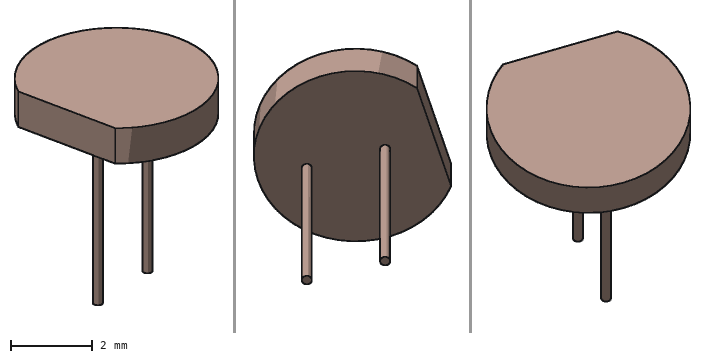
import cadquery as cq

total_height = 6.0
body_diameter = 5.0
body_depth = 4.5
body_thickness = 1.0

lead_diameter = 0.25
lead_pitch = 2.0

body_radius = body_diameter / 2
lead_length = total_height - body_thickness
flat_y = body_radius - body_depth
body_middle_y = (body_radius + flat_y) / 2


def make_body():
    """Disc with one side cut to a flat facing -Y."""
    disc = cq.Workplane("XY").workplane(offset=lead_length).circle(body_radius).extrude(body_thickness)
    keep_box = (
        cq.Workplane("XY")
        .box(body_diameter, body_depth, total_height, centered=(True, False, False))
        .translate((0, flat_y, 0))
    )
    return disc.intersect(keep_box)


def make_leads():
    """Two round leads in a row along Y, spaced evenly about the middle of the body."""
    return (
        cq.Workplane("XY")
        .pushPoints([(0, body_middle_y + side * lead_pitch / 2) for side in (-1, 1)])
        .circle(lead_diameter / 2)
        .extrude(lead_length)
    )


result = make_body().union(make_leads())